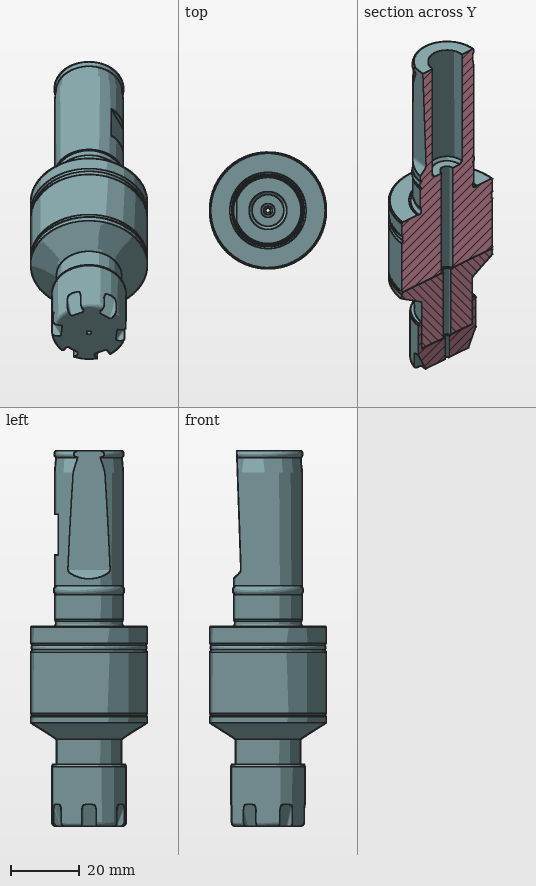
import cadquery as cq
import math


total_height = 109.1
nut_height = 18.0
spindle_end_z = 8.0
joint_z = 32.2
flange_top_z = 58.15

shank_radius = 10.0
lip_radius = 10.1
lip_top_radius = 9.6
lip_height = 2.0
taper_top_radius = 9.6
taper_bottom_z = 102.8

seal_z = 68.5
seal_groove_width = 2.6
seal_groove_radius = 9.55
seal_crest_radius = 10.25

undercut_radius = 9.7
undercut_top_z = 60.1
undercut_taper_height = 0.6
undercut_fillet = 0.85
undercut_face_depth = 0.2
undercut_face_radius = 11.1

body_radius = 17.0
edge_chamfer = 0.4
ring_z = 51.9
ring_width = 1.35
ring_foot_radius = 16.5
ring_crest_radius = 16.75
ring_bevel_height = 0.65
joint_radius = 16.5
joint_bevel_above = 0.65
joint_bevel_below = 0.35

flat_angle = 2.0
flat_top_x = -9.1
flat_corner_z = 74.0
flat_run_out_angle = 45.0
flat_corner_fillet = 1.8

side_flat_y = 9.0
side_flat_z = 84.7
side_flat_length = 11.8

bore_radius = 5.5
bore_floor_radius = 4.6
bore_depth = 40.0
shank_port_radius = 2.0
spindle_port_radius = 1.3
nut_port_radius = 0.65

neck_radius = 9.5
collar_bottom_z = 29.7
cone_top_radius = 16.4
cone_bottom_radius = 10.2
cone_bottom_z = 25.75
neck_top_z = 25.2

nut_radius = 10.8
nut_top_bevel_width = 0.25
nut_top_bevel_height = 0.65
nut_bottom_fillet = 1.2
slot_count = 6
slot_width = 4.2
slot_height = 6.45
slot_floor_bottom_radius = 8.0
slot_fillet = 0.6

cut_margin = 5.0


def turned(outline):
    """Revolve a closed (radius, z) outline about Z."""
    return outline.close().revolve(360, (0, 0, 0), (0, 1, 0))


def rod(radius, bottom, top):
    """Round cutter on the Z axis between two heights."""
    return cq.Workplane("XY", origin=(0, 0, bottom)).circle(radius).extrude(top - bottom)


def shank_blank():
    lip_bottom_z = total_height - lip_height
    seal_top_z = seal_z + seal_groove_width / 2
    seal_bottom_z = seal_z - seal_groove_width / 2
    ring_top_z = ring_z + ring_width / 2
    ring_bottom_z = ring_z - ring_width / 2
    fillet_mid = undercut_fillet * (1 - math.sqrt(0.5))
    undercut_bottom_z = flange_top_z - undercut_face_depth
    outline = (
        cq.Workplane("XZ")
        .moveTo(0, total_height)
        .lineTo(lip_top_radius, total_height)
        .threePointArc((lip_radius, total_height - lip_height / 2), (taper_top_radius, lip_bottom_z))
        .lineTo(shank_radius, taper_bottom_z)
        .lineTo(shank_radius, seal_top_z)
        .lineTo(seal_groove_radius, seal_top_z)
        .threePointArc((seal_crest_radius, seal_z), (seal_groove_radius, seal_bottom_z))
        .lineTo(shank_radius, seal_bottom_z)
        .lineTo(shank_radius, undercut_top_z)
        .lineTo(undercut_radius, undercut_top_z - undercut_taper_height)
        .lineTo(undercut_radius, undercut_bottom_z + undercut_fillet)
        .threePointArc(
            (undercut_radius + fillet_mid, undercut_bottom_z + fillet_mid),
            (undercut_radius + undercut_fillet, undercut_bottom_z),
        )
        .lineTo(undercut_face_radius, flange_top_z)
        .lineTo(body_radius - edge_chamfer, flange_top_z)
        .lineTo(body_radius, flange_top_z - edge_chamfer)
        .lineTo(body_radius, ring_top_z + ring_bevel_height)
        .lineTo(ring_foot_radius, ring_top_z)
        .threePointArc((ring_crest_radius, ring_z), (ring_foot_radius, ring_bottom_z))
        .lineTo(body_radius, ring_bottom_z - ring_bevel_height)
        .lineTo(body_radius, joint_z + joint_bevel_above)
        .lineTo(joint_radius, joint_z)
        .lineTo(0, joint_z)
    )
    return turned(outline)


def inclined_flat_cutter():
    """Flat that deepens downward and runs out through a rounded corner and a steep ramp."""
    flat_corner_x = flat_top_x + (total_height - flat_corner_z) * math.tan(math.radians(flat_angle))
    top_z = total_height + cut_margin
    top_x = flat_top_x - cut_margin * math.tan(math.radians(flat_angle))
    outer_x = -shank_radius - cut_margin
    run_out_z = flat_corner_z - (flat_corner_x - outer_x) * math.tan(math.radians(flat_run_out_angle))
    return (
        cq.Workplane("XZ")
        .moveTo(top_x, top_z)
        .lineTo(flat_corner_x, flat_corner_z)
        .lineTo(outer_x, run_out_z)
        .lineTo(outer_x, top_z)
        .close()
        .extrude(shank_radius, both=True)
        .edges(cq.selectors.NearestToPointSelector((flat_corner_x, 0, flat_corner_z)))
        .fillet(flat_corner_fillet)
    )


def side_flat_cutter():
    center = (0, side_flat_y + cut_margin / 2, side_flat_z)
    return cq.Workplane("XY", origin=center).box(2 * shank_radius, cut_margin, side_flat_length)


def shank_bore_cutter():
    floor_z = total_height - bore_depth
    outline = (
        cq.Workplane("XZ")
        .moveTo(0, total_height)
        .lineTo(bore_radius, total_height)
        .lineTo(bore_radius, floor_z + bore_radius - bore_floor_radius)
        .lineTo(bore_floor_radius, floor_z)
        .lineTo(0, floor_z)
    )
    return turned(outline).union(rod(shank_port_radius, joint_z, floor_z))


def make_shank():
    shank = shank_blank()
    shank = shank.cut(inclined_flat_cutter())
    shank = shank.cut(side_flat_cutter())
    return shank.cut(shank_bore_cutter())


def make_spindle():
    outline = (
        cq.Workplane("XZ")
        .moveTo(0, joint_z)
        .lineTo(joint_radius, joint_z)
        .lineTo(body_radius, joint_z - joint_bevel_below)
        .lineTo(body_radius, collar_bottom_z + edge_chamfer)
        .lineTo(cone_top_radius, collar_bottom_z)
        .lineTo(cone_bottom_radius, cone_bottom_z)
        .lineTo(neck_radius, neck_top_z)
        .lineTo(neck_radius, spindle_end_z)
        .lineTo(0, spindle_end_z)
    )
    return turned(outline).cut(rod(spindle_port_radius, spindle_end_z, joint_z))


def nut_slot_cutter():
    """Wrench slot on the -X side; its floor slopes inward toward the bottom face."""
    floor_slope = (nut_radius - slot_floor_bottom_radius) / slot_height
    outer_x = -nut_radius - cut_margin
    tip_z = slot_height + cut_margin / floor_slope
    bottom_x = -slot_floor_bottom_radius + cut_margin * floor_slope
    return (
        cq.Workplane("XZ")
        .moveTo(bottom_x, -cut_margin)
        .lineTo(outer_x, tip_z)
        .lineTo(outer_x, -cut_margin)
        .close()
        .extrude(slot_width / 2, both=True)
        .faces(">X")
        .faces(">Z")
        .edges("not |Y")
        .fillet(slot_fillet)
    )


def make_nut():
    bevel_start_radius = nut_radius - nut_top_bevel_width
    fillet_mid = nut_bottom_fillet * (1 - math.sqrt(0.5))
    outline = (
        cq.Workplane("XZ")
        .moveTo(0, nut_height)
        .lineTo(bevel_start_radius, nut_height)
        .lineTo(nut_radius, nut_height - nut_top_bevel_height)
        .lineTo(nut_radius, nut_bottom_fillet)
        .threePointArc((nut_radius - fillet_mid, fillet_mid), (nut_radius - nut_bottom_fillet, 0))
        .lineTo(0, 0)
    )
    nut = turned(outline)
    nut = nut.cut(rod(neck_radius, spindle_end_z, nut_height))
    nut = nut.cut(rod(nut_port_radius, 0, spindle_end_z))
    slot = nut_slot_cutter()
    for index in range(slot_count):
        nut = nut.cut(slot.rotate((0, 0, 0), (0, 0, 1), index * 360 / slot_count))
    return nut


shank = make_shank()
spindle = make_spindle()
nut = make_nut()

result = cq.Compound.makeCompound([shank.val(), spindle.val(), nut.val()])